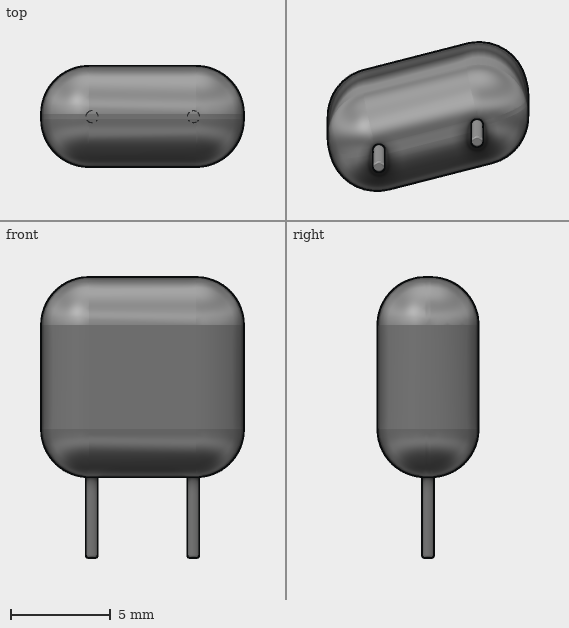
import cadquery as cq

body_width = 10.17
body_depth = 5.08
edge_radius = 2.42

total_height = 14.06
lead_length = 4.04
lead_diameter = 0.6
lead_pitch = 5.08
tip_radius = 0.14

body_height = total_height - lead_length
lead_embed = edge_radius


def make_body():
    """Block with every edge rounded, its underside at Z = 0."""
    block = cq.Workplane("XY").box(body_width, body_depth, body_height, centered=(True, True, False))
    return block.edges().fillet(edge_radius)


def make_lead(x):
    """Round wire hanging below the body, with a rounded tip."""
    wire = (
        cq.Workplane("XY", origin=(x, 0, -lead_length))
        .circle(lead_diameter / 2)
        .extrude(lead_length + lead_embed)
    )
    return wire.faces("<Z").edges().fillet(tip_radius)


result = make_body()
for side in (-1, 1):
    result = result.union(make_lead(side * lead_pitch / 2))